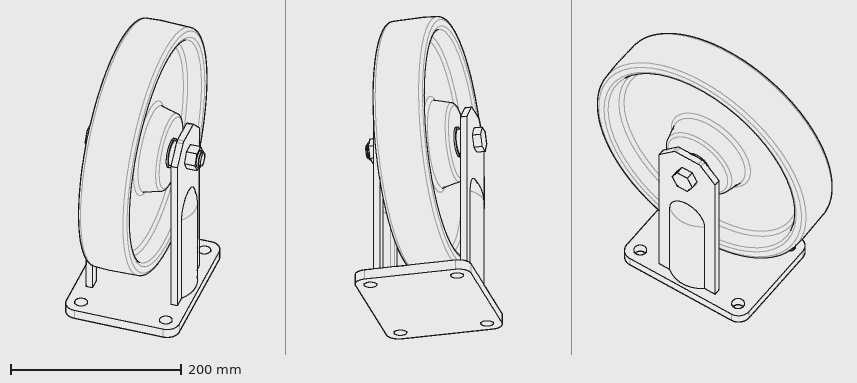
import cadquery as cq
import math

plate_x = 140.0
plate_y = 175.0
plate_thickness = 12.0
plate_corner_radius = 15.0
bolt_hole_diameter = 15.0
bolt_pitch_x = 105.0
bolt_pitch_y = 140.0

wheel_radius = 150.0
overall_height = 355.0
axle_z = overall_height - wheel_radius
rim_half_width = 30.0
tread_shoulder_radius = 148.7
tread_fillet = 4.0
rim_mouth_radius = 134.5
rim_root_radius = 128.0
web_half_thickness = 8.0
hub_half_width = 35.0
hub_face_radius = 46.0
hub_root_radius = 52.7
face_fillet = 4.0
root_fillet = 5.0

leg_width = 80.0
leg_inner_x = 48.6
leg_thickness = 8.0
leg_outer_x = leg_inner_x + leg_thickness
leg_top_z = axle_z + 35.0
leg_corner_cut = 22.0
leg_top_fillet = 5.0

rib_outer_radius = 39.0
rib_depth = 9.0
rib_top_z = 128.5
rib_axis_x = leg_outer_x + rib_depth - rib_outer_radius
rib_inner_radius = rib_outer_radius - leg_thickness
rib_mouth_fillet = 14.0

axle_diameter = 16.0
axle_end_x = 74.3
flange_diameter = 35.0
flange_end_x = 37.0
sleeve_diameter = 30.0
sleeve_end_x = 46.0
collar_diameter = 25.0
collar_end_x = 47.0
hex_across_flats = 25.0
head_height = 10.0
nut_height = 13.0
nut_collar_diameter = 20.0
nut_collar_height = 2.5


def make_plate():
    """Rounded mounting plate with four bolt holes."""
    plate = cq.Workplane("XY").box(plate_x, plate_y, plate_thickness, centered=(True, True, False))
    plate = plate.edges("|Z").fillet(plate_corner_radius)
    hole_pattern = plate.faces(">Z").workplane().rect(bolt_pitch_x, bolt_pitch_y, forConstruction=True)
    return hole_pattern.vertices().hole(bolt_hole_diameter)


def x_cylinder(diameter, start_x, end_x):
    """Round bar on the wheel axis between two X positions."""
    return cq.Workplane("YZ", origin=(start_x, 0, axle_z)).circle(diameter / 2).extrude(end_x - start_x)


def x_hexagon(start_x, end_x):
    """Hexagon bar on the wheel axis with two corners along Y."""
    corner_diameter = hex_across_flats / math.cos(math.pi / 6)
    return cq.Workplane("YZ", origin=(start_x, 0, axle_z)).polygon(6, corner_diameter).extrude(end_x - start_x)


def fillet_circles(body, circle_radius, fillet_radius):
    """Round every circular edge of the given radius."""
    radius_tolerance = 0.001
    edges = [
        edge
        for edge in body.edges("%CIRCLE").vals()
        if math.isclose(edge.radius(), circle_radius, abs_tol=radius_tolerance)
    ]
    return body.newObject(edges).fillet(fillet_radius)


def make_wheel():
    """Crowned wheel: a rim and a hub with drafted walls, joined by a thin web."""
    section = (
        cq.Workplane("XY")
        .lineTo(hub_half_width, 0)
        .lineTo(hub_half_width, hub_face_radius)
        .lineTo(web_half_thickness, hub_root_radius)
        .lineTo(web_half_thickness, rim_root_radius)
        .lineTo(rim_half_width, rim_mouth_radius)
        .lineTo(rim_half_width, tread_shoulder_radius)
        .threePointArc((0, wheel_radius), (-rim_half_width, tread_shoulder_radius))
        .lineTo(-rim_half_width, rim_mouth_radius)
        .lineTo(-web_half_thickness, rim_root_radius)
        .lineTo(-web_half_thickness, hub_root_radius)
        .lineTo(-hub_half_width, hub_face_radius)
        .lineTo(-hub_half_width, 0)
        .close()
    )
    wheel = section.revolve(360, (0, 0, 0), (1, 0, 0))
    wheel = fillet_circles(wheel, tread_shoulder_radius, tread_fillet)
    wheel = fillet_circles(wheel, rim_mouth_radius, face_fillet)
    wheel = fillet_circles(wheel, hub_face_radius, face_fillet)
    wheel = fillet_circles(wheel, rim_root_radius, root_fillet)
    wheel = fillet_circles(wheel, hub_root_radius, root_fillet)
    return wheel.translate((0, 0, axle_z))


def rib_core(radius):
    """Vertical cylinder on the rib axis, closed by a sphere at its top."""
    shaft = (
        cq.Workplane("XY", origin=(rib_axis_x, 0, plate_thickness))
        .circle(radius)
        .extrude(rib_top_z - plate_thickness)
    )
    dome = cq.Workplane("XY", origin=(rib_axis_x, 0, rib_top_z)).sphere(radius)
    return shaft.union(dome)


def make_leg():
    """Leg on the +X side, standing on the plate, with its pressed rib."""
    leg = (
        cq.Workplane("XY", origin=(leg_inner_x, 0, plate_thickness))
        .box(leg_thickness, leg_width, leg_top_z - plate_thickness, centered=(False, True, False))
        .edges("|X and >Z")
        .chamfer(leg_corner_cut)
        .faces(">Z")
        .edges("|X")
        .fillet(leg_top_fillet)
    )
    outside = cq.Workplane("XY", origin=(leg_inner_x, 0, 0)).box(
        rib_outer_radius, leg_width, leg_top_z, centered=(False, True, False)
    )
    rib = rib_core(rib_outer_radius).intersect(outside)
    leg = leg.union(rib).cut(rib_core(rib_inner_radius))
    margin = 1.0
    mouth_edges = cq.selectors.BoxSelector(
        (leg_inner_x - margin, -rib_inner_radius, plate_thickness + margin),
        (leg_inner_x + margin, rib_inner_radius, rib_top_z + rib_inner_radius),
    )
    return leg.edges(mouth_edges).fillet(rib_mouth_fillet)


def make_axle():
    """Bolt, nut and the stepped spacers on both sides of the hub."""
    nut_end_x = leg_outer_x + nut_height
    axle = x_cylinder(axle_diameter, -leg_outer_x, axle_end_x)
    axle = axle.union(x_hexagon(-leg_outer_x - head_height, -leg_outer_x))
    axle = axle.union(x_hexagon(leg_outer_x, nut_end_x))
    axle = axle.union(x_cylinder(nut_collar_diameter, nut_end_x, nut_end_x + nut_collar_height))
    spacer_steps = (
        (flange_diameter, flange_end_x),
        (sleeve_diameter, sleeve_end_x),
        (collar_diameter, collar_end_x),
    )
    for diameter, end_x in spacer_steps:
        axle = axle.union(x_cylinder(diameter, -end_x, end_x))
    return axle


right_leg = make_leg()
left_leg = right_leg.mirror("YZ")
result = make_plate().union(right_leg).union(left_leg).union(make_wheel()).union(make_axle())